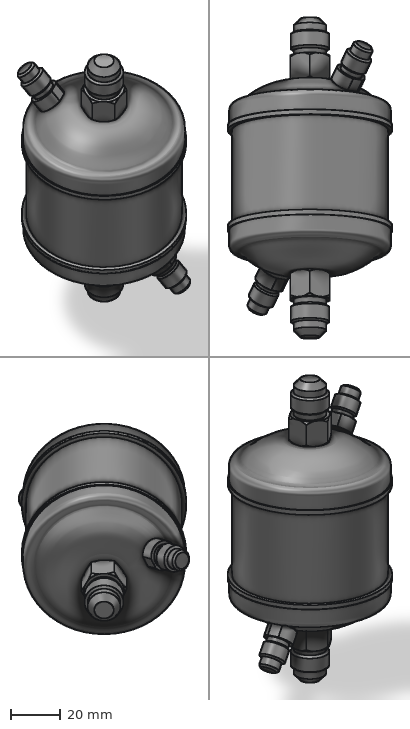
import cadquery as cq
import math

shell_radius = 31.75
flange_radius = 33.5
flange_bottom_z = 19.8
flange_top_z = 21.8
cap_radius = 33.0
cap_edge_z = 27.8
rim_outer_radius = 30.8
rim_z = 30.6
dome_flat_radius = 11.0
dome_top_z = 39.4
dome_skirt_radius = 26.1
dome_skirt_z = 32.8
dome_skirt_slope = 40.0
foot_fillet_radius = 2.5

flare_top_z = 66.0
flare_tip_radius = 3.95
flare_nose_radius = 6.7
flare_nose_z = 63.2
thread_radius = 7.9
thread_chamfer_start_z = 60.3
thread_top_z = 59.6
thread_bottom_z = 53.7
thread_chamfer_end_z = 52.8
nut_top_z = 50.5
nut_across_flats = 16.1
nut_angle = 20.0
nut_chamfer_radius = 8.2
nut_chamfer_slope = 45.0

access_base_x = -22.65
access_base_z = 35.4
access_elevation = 50.0
base_radius = 6.2
base_flat_distance = 5.7
base_length = 5.7
groove_radius = 4.7
access_thread_radius = 5.5
access_thread_start = 7.6
access_thread_end = 13.7
access_thread_chamfer = 0.7
access_neck_radius = 4.3
access_length = 18.63
access_tip_chamfer = 0.9


def make_shell():
    return (
        cq.Workplane("XY")
        .workplane(offset=-flange_bottom_z)
        .circle(shell_radius)
        .extrude(2 * flange_bottom_z)
    )


def make_cap():
    slope = math.radians(dome_skirt_slope)
    chord_run = dome_skirt_radius - dome_flat_radius
    chord_drop = dome_top_z - dome_skirt_z
    half_angle = slope - math.atan2(chord_drop, chord_run)
    dome_arc_radius = math.hypot(chord_run, chord_drop) / (2 * math.sin(half_angle))
    center_r = dome_skirt_radius - dome_arc_radius * math.sin(slope)
    center_z = dome_skirt_z - dome_arc_radius * math.cos(slope)
    mid_angle = slope - half_angle
    dome_mid = (
        center_r + dome_arc_radius * math.sin(mid_angle),
        center_z + dome_arc_radius * math.cos(mid_angle),
    )

    foot_r = dome_skirt_radius + (dome_skirt_z - rim_z) / math.tan(slope)
    tangent_length = foot_fillet_radius * math.tan(slope / 2)
    blend_start = (
        foot_r - tangent_length * math.cos(slope),
        rim_z + tangent_length * math.sin(slope),
    )
    blend_end = (foot_r + tangent_length, rim_z)
    blend_mid = (
        blend_end[0] - foot_fillet_radius * math.sin(slope / 2),
        rim_z + foot_fillet_radius * (1 - math.cos(slope / 2)),
    )

    edge_run = cap_radius - rim_outer_radius
    edge_rise = rim_z - cap_edge_z
    edge_radius = (edge_run**2 + edge_rise**2) / (2 * edge_run)
    edge_mid_angle = math.asin(edge_rise / edge_radius) / 2
    edge_mid = (
        cap_radius - edge_radius * (1 - math.cos(edge_mid_angle)),
        cap_edge_z + edge_radius * math.sin(edge_mid_angle),
    )
    profile = (
        cq.Workplane("XZ")
        .moveTo(0, flange_bottom_z)
        .lineTo(0, dome_top_z)
        .lineTo(dome_flat_radius, dome_top_z)
        .threePointArc(dome_mid, (dome_skirt_radius, dome_skirt_z))
        .lineTo(*blend_start)
        .threePointArc(blend_mid, blend_end)
        .lineTo(rim_outer_radius, rim_z)
        .threePointArc(edge_mid, (cap_radius, cap_edge_z))
        .lineTo(cap_radius, flange_top_z)
        .lineTo(flange_radius, flange_top_z)
        .lineTo(flange_radius, flange_bottom_z)
        .close()
    )
    return profile.revolve(360, (0, 0, 0), (0, 1, 0))


def make_nut():
    corner_radius = nut_across_flats / math.sqrt(3)
    height = nut_top_z - dome_top_z
    hexagon = (
        cq.Workplane("XY")
        .polygon(6, 2 * corner_radius)
        .extrude(height)
        .rotate((0, 0, 0), (0, 0, 1), nut_angle)
    )
    chamfer_width = corner_radius - nut_chamfer_radius
    chamfer_height = chamfer_width * math.tan(math.radians(nut_chamfer_slope))
    turned_blank = (
        cq.Workplane("XZ")
        .polyline([
            (0, 0),
            (nut_chamfer_radius, 0),
            (corner_radius, chamfer_height),
            (corner_radius, height - chamfer_height),
            (nut_chamfer_radius, height),
            (0, height),
        ])
        .close()
        .revolve(360, (0, 0, 0), (0, 1, 0))
    )
    return hexagon.intersect(turned_blank).translate((0, 0, dome_top_z))


def make_flare():
    return (
        cq.Workplane("XZ")
        .polyline([
            (0, dome_top_z),
            (flare_nose_radius, dome_top_z),
            (flare_nose_radius, thread_chamfer_end_z),
            (thread_radius, thread_bottom_z),
            (thread_radius, thread_top_z),
            (flare_nose_radius, thread_chamfer_start_z),
            (flare_nose_radius, flare_nose_z),
            (flare_tip_radius, flare_top_z),
            (0, flare_top_z),
        ])
        .close()
        .revolve(360, (0, 0, 0), (0, 1, 0))
    )


def make_access_fitting():
    stem = (
        cq.Workplane("XZ")
        .polyline([
            (0, 0),
            (groove_radius, 0),
            (groove_radius, access_thread_start),
            (access_thread_radius, access_thread_start + access_thread_chamfer),
            (access_thread_radius, access_thread_end),
            (access_neck_radius, access_thread_end + access_thread_chamfer),
            (access_neck_radius, access_length - access_tip_chamfer),
            (access_neck_radius - access_tip_chamfer, access_length),
            (0, access_length),
        ])
        .close()
        .revolve(360, (0, 0, 0), (0, 1, 0))
    )
    base_blank = cq.Workplane("XY").circle(base_radius).extrude(base_length)
    flats = (
        cq.Workplane("XY")
        .rect(2 * base_flat_distance, 2 * base_radius)
        .extrude(base_length)
    )
    tilt = access_elevation - 90
    return (
        stem.union(base_blank.intersect(flats))
        .rotate((0, 0, 0), (0, 1, 0), tilt)
        .translate((access_base_x, 0, access_base_z))
    )


capped_end = make_cap().union(make_nut()).union(make_flare())
upper_access = make_access_fitting()
lower_access = upper_access.rotate((0, 0, 0), (0, 1, 0), 180)

result = (
    make_shell()
    .union(capped_end)
    .union(capped_end.mirror("XY"))
    .union(upper_access)
    .union(lower_access)
)